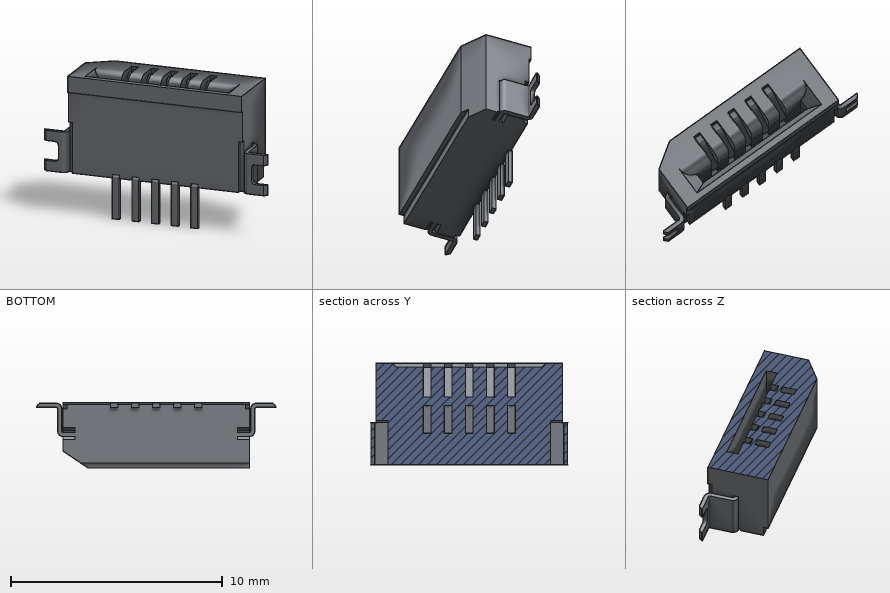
import cadquery as cq
import math

overall_width = 11.3
body_width = 8.81
body_depth = 3.1
body_height = 4.8
lip_height = 0.8
lip_overhang = 0.1
rear_step_height = 0.51
rear_step_depth = 0.24
corner_cut_x = 1.2
corner_cut_y = 0.8
edge_notch_width = 0.2
edge_notch_height = 2.51

mouth_width = 7.25
mouth_front = 0.3
mouth_rear = 1.73
lead_in_depth = 0.6
front_lead_in = 0.33
rear_edge_radius = 0.58
cavity_floor = 1.5

contact_count = 5
contact_pitch = 1.0
contact_width = 0.35
sheet_thickness = 0.2
slot_front = 1.08
slot_rear = 2.59
crest_radius = 0.29
crest_below_top = 0.2
contact_slope = math.radians(60)
pin_length = 2.0
pin_front = 0.03
pin_bend_radius = 0.3
pin_bend_start = -0.02

tab_height = 2.0
tab_front = pin_front
tab_outer_x = 4.65
tab_bend_radius = 0.27
tab_root_rear = 1.62
tab_tip_bevel = 0.15
tab_notch_x = 4.89
tab_notch_height = 0.98
tab_notch_fillet = 0.17
tab_slot_front = 1.32
tab_slot_rear = tab_root_rear
tab_slot_flare = 0.14
tab_slot_height = 2.08
tab_slot_depth = 0.56

half_body = body_width / 2
lead_in_bottom = body_height - lead_in_depth
diagonal = math.sqrt(0.5)


def box(x_min, x_max, y_min, y_max, z_min, z_max):
    block = cq.Workplane("XY").box(x_max - x_min, y_max - y_min, z_max - z_min, centered=False)
    return block.translate((x_min, y_min, z_min))


def on_both_sides(left_side):
    return left_side.union(left_side.mirror("YZ"))


def make_housing():
    outline = [
        (-half_body, 0),
        (half_body, 0),
        (half_body, body_depth),
        (-half_body + corner_cut_x, body_depth),
        (-half_body, body_depth - corner_cut_y),
    ]
    housing = cq.Workplane("XY").polyline(outline).close().extrude(body_height)
    below_lip = box(-half_body, half_body, 0, lip_overhang, 0, body_height - lip_height)
    rear_step = box(-half_body, half_body, body_depth - rear_step_depth, body_depth, 0, rear_step_height)
    edge_notch = box(
        -half_body, -half_body + edge_notch_width,
        0, lip_overhang + edge_notch_width,
        0, edge_notch_height,
    )
    return housing.cut(below_lip).cut(rear_step).cut(on_both_sides(edge_notch))


def make_cavity():
    pocket_front = mouth_front + front_lead_in
    pocket_rear = mouth_rear - rear_edge_radius
    arc_offset = rear_edge_radius * diagonal
    arc_bottom = body_height - rear_edge_radius
    side_section = (
        cq.Workplane("YZ")
        .moveTo(mouth_front, body_height)
        .lineTo(pocket_front, lead_in_bottom)
        .lineTo(pocket_front, cavity_floor)
        .lineTo(pocket_rear, cavity_floor)
        .lineTo(pocket_rear, arc_bottom)
        .threePointArc(
            (mouth_rear - arc_offset, arc_bottom + arc_offset),
            (mouth_rear, body_height),
        )
        .close()
        .extrude(mouth_width / 2, both=True)
    )
    half_mouth = mouth_width / 2
    half_pocket = half_mouth - lead_in_depth
    end_outline = [
        (-half_mouth, body_height),
        (-half_pocket, lead_in_bottom),
        (-half_pocket, cavity_floor),
        (half_pocket, cavity_floor),
        (half_pocket, lead_in_bottom),
        (half_mouth, body_height),
    ]
    front_section = cq.Workplane("XZ").polyline(end_outline).close().extrude(-body_depth)
    return side_section.intersect(front_section)


def make_contact_slot():
    half_width = contact_width / 2
    return box(-half_width, half_width, slot_front, slot_rear, cavity_floor, body_height)


def make_contact():
    inner_radius = crest_radius - sheet_thickness
    crest_y = slot_rear - crest_radius
    crest_z = body_height - crest_below_top - crest_radius
    arm_y = math.cos(contact_slope)
    arm_z = math.sin(contact_slope)

    def crest_point(radius, angle):
        return (crest_y + radius * math.cos(angle), crest_z + radius * math.sin(angle))

    crest_end_angle = math.pi / 2 + contact_slope
    crest_mid_angle = crest_end_angle / 2
    outer_end = crest_point(crest_radius, crest_end_angle)
    inner_end = crest_point(inner_radius, crest_end_angle)
    arm_length = (outer_end[0] - slot_front) / arm_y
    return (
        cq.Workplane("YZ")
        .moveTo(slot_rear, cavity_floor)
        .lineTo(slot_rear, crest_z)
        .threePointArc(crest_point(crest_radius, crest_mid_angle), outer_end)
        .lineTo(slot_front, outer_end[1] - arm_length * arm_z)
        .lineTo(inner_end[0] - arm_length * arm_y, inner_end[1] - arm_length * arm_z)
        .lineTo(*inner_end)
        .threePointArc(crest_point(inner_radius, crest_mid_angle), crest_point(inner_radius, 0))
        .lineTo(slot_rear - sheet_thickness, cavity_floor)
        .close()
        .extrude(contact_width / 2, both=True)
    )


def make_pin():
    bend_y = pin_front + pin_bend_radius
    inner_radius = pin_bend_radius - sheet_thickness
    return (
        cq.Workplane("YZ")
        .moveTo(pin_front, -pin_length)
        .lineTo(pin_front, pin_bend_start)
        .threePointArc(
            (bend_y - pin_bend_radius * diagonal, pin_bend_start + pin_bend_radius * diagonal),
            (bend_y, pin_bend_start + pin_bend_radius),
        )
        .lineTo(bend_y, pin_bend_start + inner_radius)
        .threePointArc(
            (bend_y - inner_radius * diagonal, pin_bend_start + inner_radius * diagonal),
            (bend_y - inner_radius, pin_bend_start),
        )
        .lineTo(pin_front + sheet_thickness, -pin_length)
        .close()
        .extrude(contact_width / 2, both=True)
    )


def make_tab_slot():
    outline = [
        (tab_slot_front - tab_slot_flare, 0),
        (tab_slot_rear + tab_slot_flare, 0),
        (tab_slot_rear, tab_slot_flare),
        (tab_slot_rear, tab_slot_height),
        (tab_slot_front, tab_slot_height),
        (tab_slot_front, tab_slot_flare),
    ]
    slot = cq.Workplane("YZ").polyline(outline).close().extrude(tab_slot_depth)
    return slot.translate((-half_body, 0, 0))


def make_tab():
    inner_radius = tab_bend_radius - sheet_thickness
    tip_x = -overall_width / 2
    root_x = -half_body + tab_slot_depth
    foot_rear = tab_front + sheet_thickness
    plate_outer = -tab_outer_x
    plate_inner = plate_outer + sheet_thickness
    foot_bend_x = plate_inner - tab_bend_radius
    foot_bend_y = tab_front + tab_bend_radius
    root_bend_x = plate_outer + tab_bend_radius
    root_bend_y = tab_root_rear - tab_bend_radius
    outer_diagonal = tab_bend_radius * diagonal
    inner_diagonal = inner_radius * diagonal
    tab = (
        cq.Workplane("XY")
        .moveTo(tip_x + tab_tip_bevel, tab_front)
        .lineTo(foot_bend_x, tab_front)
        .threePointArc(
            (foot_bend_x + outer_diagonal, foot_bend_y - outer_diagonal),
            (plate_inner, foot_bend_y),
        )
        .lineTo(plate_inner, root_bend_y)
        .threePointArc(
            (root_bend_x - inner_diagonal, root_bend_y + inner_diagonal),
            (root_bend_x, root_bend_y + inner_radius),
        )
        .lineTo(root_x, root_bend_y + inner_radius)
        .lineTo(root_x, tab_root_rear)
        .lineTo(root_bend_x, tab_root_rear)
        .threePointArc(
            (root_bend_x - outer_diagonal, root_bend_y + outer_diagonal),
            (plate_outer, root_bend_y),
        )
        .lineTo(plate_outer, foot_bend_y)
        .threePointArc(
            (foot_bend_x + inner_diagonal, foot_bend_y - inner_diagonal),
            (foot_bend_x, foot_rear),
        )
        .lineTo(tip_x, foot_rear)
        .lineTo(tip_x, tab_front + tab_tip_bevel)
        .close()
        .extrude(tab_height)
    )
    notch_bottom = (tab_height - tab_notch_height) / 2
    notch = box(
        tip_x, -tab_notch_x,
        tab_front, foot_rear,
        notch_bottom, notch_bottom + tab_notch_height,
    )
    return tab.cut(notch.edges("|Y and >X").fillet(tab_notch_fillet))


result = make_housing().cut(make_cavity()).cut(on_both_sides(make_tab_slot()))
for index in range(contact_count):
    contact_x = (index - (contact_count - 1) / 2) * contact_pitch
    position = (contact_x, 0, 0)
    result = result.cut(make_contact_slot().translate(position))
    result = result.union(make_contact().translate(position))
    result = result.union(make_pin().translate(position))
result = result.union(on_both_sides(make_tab()))